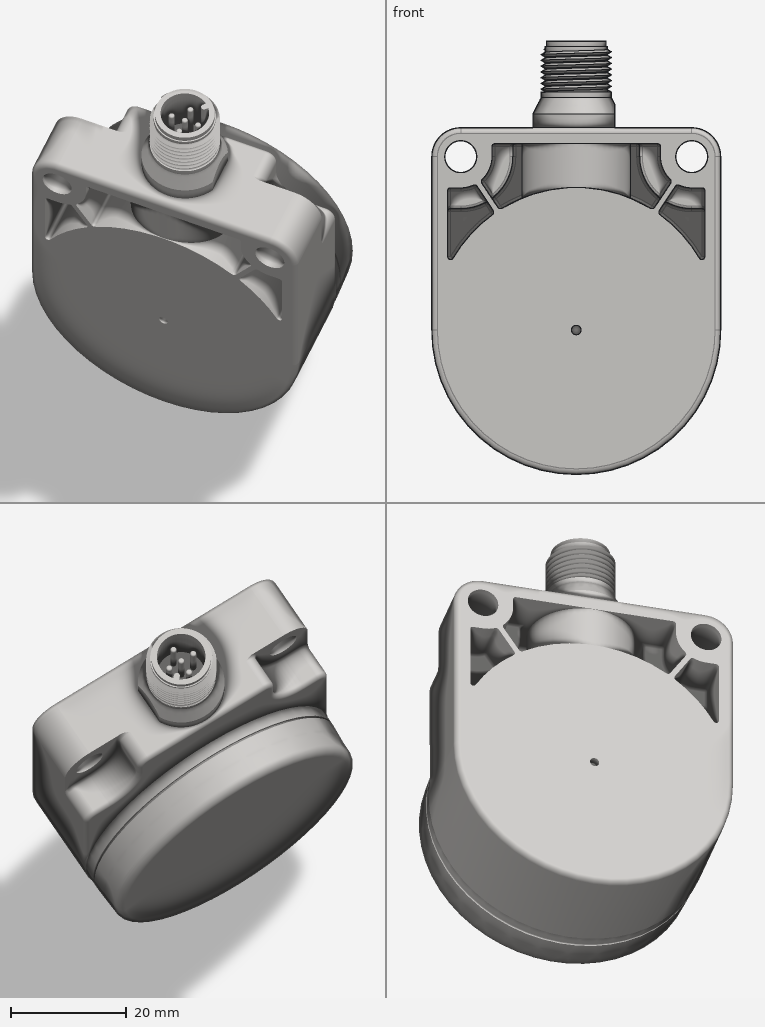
import cadquery as cq
import math


overall_width = 50.0
overall_depth = 27.2
overall_height = 74.95
body_radius = overall_width / 2
block_top = 35.0
block_depth = 17.6
corner_radius = 5.0
front_edge_radius = 1.0
back_edge_radius = 0.8

ring_radius = 24.8
ring_end = 19.7
groove_radius = 24.35
cap_start = 20.2
cap_back_radius = 24.4
cap_edge_radius = 1.4

hole_x = body_radius - corner_radius
hole_z = block_top - corner_radius
hole_diameter = 5.5
notch_radius = 6.0
notch_floor = 11.1
notch_mouth_radius = 2.0
notch_floor_radius = 0.5

pocket_half_width = 22.3
pocket_top = 32.2
sensing_face_radius = 24.65
shallow_pocket_depth = 8.25
deep_pocket_depth = 14.6
hole_boss_radius = 5.4
notch_wall_radius = 9.0
rib_width = 1.0
pocket_edge_radius = 0.5
pocket_floor_radius = 0.5
pocket_step_radius = 0.45
sensing_dot_radius = 0.8
sensing_dot_depth = 1.5

connector_y = 9.45
connector_top = overall_height - body_radius
socket_boss_radius = 9.4
collar_radius = 7.5
collar_top = 37.4
collar_flat_x = 6.7
shoulder_bottom = 40.2
shoulder_top = 41.15
thread_radius = 6.1
thread_root_radius = 5.4
thread_top = 49.0
thread_pitch = 1.0
tip_radius = 5.2
socket_radius = 4.2
socket_depth = 9.0
key_radius = 0.5
key_centre_radius = 3.6
pin_radius = 0.5
pin_spacing = 2.5
pin_recess = 1.95


def front_plane(y, x=0.0, z=0.0):
    """Workplane parallel to the front face; negative extrusions go toward +Y."""
    return cq.Workplane("XZ", origin=(x, y, z))


def cylinder_y(radius, y_start, y_end, x=0.0, z=0.0):
    return front_plane(y_start, x, z).circle(radius).extrude(y_start - y_end)


def box_between(x_range, y_range, z_range):
    """Box spanning the given (low, high) ranges."""
    low, high = zip(x_range, y_range, z_range)
    sizes = [b - a for a, b in zip(low, high)]
    return cq.Workplane("XY").box(*sizes, centered=False).translate(low)


def notch(side):
    """Corner notch rounded around one mounting hole, open at the top, side and back."""
    wall_x = hole_x - notch_radius
    wall_z = hole_z - notch_radius
    mouth = notch_mouth_radius
    arc = notch_radius * math.sqrt(0.5)
    mouth_mid = mouth * (1 - math.sqrt(0.5))
    beyond = overall_width
    return (
        front_plane(notch_floor)
        .moveTo(side * (wall_x - mouth), block_top)
        .threePointArc(
            (side * (wall_x - mouth_mid), block_top - mouth_mid),
            (side * wall_x, block_top - mouth),
        )
        .lineTo(side * wall_x, hole_z)
        .threePointArc((side * (hole_x - arc), hole_z - arc), (side * hole_x, wall_z))
        .lineTo(side * (body_radius - mouth), wall_z)
        .threePointArc(
            (side * (body_radius - mouth_mid), wall_z - mouth_mid),
            (side * body_radius, wall_z - mouth),
        )
        .lineTo(side * beyond, wall_z - mouth)
        .lineTo(side * beyond, beyond)
        .lineTo(side * (wall_x - mouth), beyond)
        .close()
        .extrude(-block_depth)
        .faces("<Y")
        .edges()
        .fillet(notch_floor_radius)
    )


def make_body():
    block = box_between((-body_radius, body_radius), (0, block_depth), (0, block_top))
    block = block.edges("|Y and >Z").fillet(corner_radius)
    for side in (-1, 1):
        block = block.cut(notch(side))
    block = block.faces(">Y").edges("not(<Z)").fillet(back_edge_radius)
    body = block.union(cylinder_y(body_radius, 0, block_depth))
    return body.faces("<Y").edges().fillet(front_edge_radius)


def make_round_back():
    round_back = (
        cq.Workplane("XY")
        .moveTo(0, block_depth)
        .lineTo(ring_radius, block_depth)
        .lineTo(ring_radius, ring_end)
        .lineTo(groove_radius, ring_end)
        .lineTo(groove_radius, cap_start)
        .lineTo(ring_radius, cap_start)
        .lineTo(cap_back_radius, overall_depth)
        .lineTo(0, overall_depth)
        .close()
        .revolve(360, (0, 0, 0), (0, 1, 0))
    )
    return round_back.faces(">Y").edges().fillet(cap_edge_radius)


def pocket_layer(depth, hole_clearance):
    """Pocket region above the round face, split by ribs and kept clear of the hole corners."""
    layer = box_between((-pocket_half_width, pocket_half_width), (0, depth), (0, pocket_top))
    layer = layer.cut(cylinder_y(sensing_face_radius, 0, depth))
    for side in (-1, 1):
        layer = layer.cut(cylinder_y(hole_clearance, 0, depth, side * hole_x, hole_z))
        corner_x = sorted((side * (hole_x - hole_clearance), side * overall_width))
        layer = layer.cut(box_between(corner_x, (0, depth), (hole_z, block_top)))
        outer_x = sorted((side * hole_x, side * overall_width))
        layer = layer.cut(box_between(outer_x, (0, depth), (hole_z - hole_clearance, block_top)))
        rib_angle = math.degrees(math.atan2(hole_z, side * hole_x))
        rib = box_between((0, block_top), (0, depth), (-rib_width / 2, rib_width / 2))
        layer = layer.cut(rib.rotate((0, 0, 0), (0, 1, 0), -rib_angle))
    layer = layer.edges("|Y").fillet(pocket_edge_radius)
    return layer.faces(">Y").edges().fillet(pocket_floor_radius)


def is_step_edge(edge):
    """True for the rim where the shallow pocket floor drops into the deep part."""
    tolerance = 0.01
    middle = edge.positionAt(0.5)
    inward = max(hole_x - abs(middle.x), 0)
    below = max(hole_z - middle.z, 0)
    on_rim = abs(math.hypot(inward, below) - notch_wall_radius) < tolerance
    return on_rim and abs(middle.y - shallow_pocket_depth) < tolerance


def make_pockets():
    pockets = pocket_layer(shallow_pocket_depth, hole_boss_radius)
    pockets = pockets.union(pocket_layer(deep_pocket_depth, notch_wall_radius))
    step_edges = [edge for edge in pockets.edges().vals() if is_step_edge(edge)]
    pockets = pockets.newObject(step_edges).fillet(pocket_step_radius)
    socket_boss = cq.Workplane("XY", origin=(0, connector_y, 0)).circle(socket_boss_radius)
    return pockets.cut(socket_boss.extrude(block_top))


def make_thread():
    """Single-start V thread, slightly sunk into its core."""
    sink = 0.1
    half_base = 0.46 * thread_pitch
    length = thread_top - shoulder_top - half_base
    path = cq.Wire.makeHelix(thread_pitch, length, thread_root_radius)
    return (
        cq.Workplane("XZ")
        .polyline([
            (thread_root_radius - sink, -half_base),
            (thread_radius, 0),
            (thread_root_radius - sink, half_base),
        ])
        .close()
        .sweep(cq.Workplane(path), isFrenet=True)
        .translate((0, 0, shoulder_top))
    )


def make_connector():
    """Threaded five-pin connector on the Z axis, with a keyed socket and a flat on its collar."""
    shell = (
        cq.Workplane("XZ")
        .moveTo(0, pocket_top)
        .lineTo(collar_radius, pocket_top)
        .lineTo(collar_radius, collar_top)
        .lineTo(thread_radius, shoulder_bottom)
        .lineTo(thread_radius, shoulder_top)
        .lineTo(thread_root_radius, shoulder_top)
        .lineTo(thread_root_radius, thread_top)
        .lineTo(tip_radius, thread_top)
        .lineTo(tip_radius, connector_top)
        .lineTo(0, connector_top)
        .close()
        .revolve(360, (0, 0, 0), (0, 1, 0))
    )
    shell = shell.union(make_thread())
    flat_cut = box_between(
        (collar_flat_x, collar_radius),
        (-collar_radius, collar_radius),
        (block_top, connector_top),
    )
    shell = shell.cut(flat_cut)

    socket_floor = connector_top - socket_depth
    base = cq.Workplane("XY", origin=(0, 0, socket_floor))
    shell = shell.cut(base.circle(socket_radius).extrude(socket_depth))

    key = base.center(key_centre_radius, 0).circle(key_radius).extrude(socket_depth)
    key = key.union(box_between(
        (key_centre_radius, socket_radius + key_radius / 2),
        (-key_radius, key_radius),
        (socket_floor, connector_top),
    ))
    shell = shell.union(key.rotate((0, 0, 0), (0, 0, 1), 45))

    s = pin_spacing
    pins = base.pushPoints([(0, 0), (s, 0), (-s, 0), (0, s), (0, -s)]).circle(pin_radius)
    pins = pins.extrude(socket_depth - pin_recess).faces(">Z").edges().fillet(pin_radius / 2)
    return shell.union(pins)


body = make_body().union(make_round_back())
body = body.cut(make_pockets())
for side in (-1, 1):
    body = body.cut(cylinder_y(hole_diameter / 2, 0, block_depth, side * hole_x, hole_z))
body = body.cut(cylinder_y(sensing_dot_radius, 0, sensing_dot_depth))
result = body.union(make_connector().translate((0, connector_y, 0)))